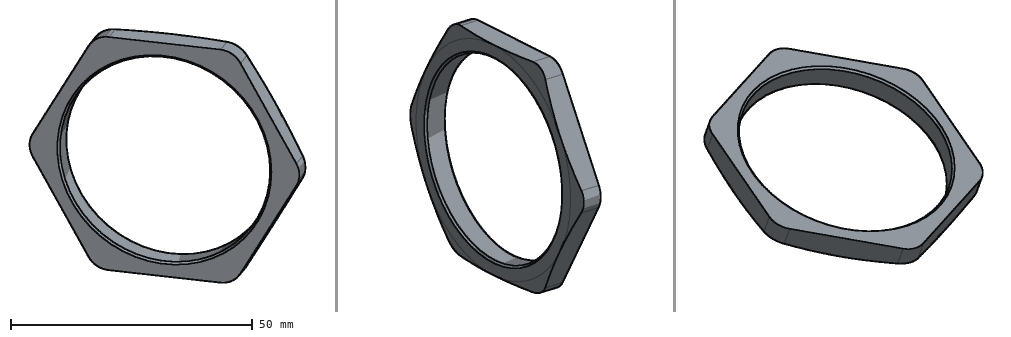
import cadquery as cq
import math

width_across_corners = 58.5
width_across_flats = 52.0
thickness = 5.5
bore_diameter = 45.5
bore_chamfer = 0.45
crown_diameter = width_across_flats
crown_drop = 1.05

corner_ratio = 1 / math.cos(math.radians(30))
sharp_width = width_across_flats * corner_ratio
corner_radius = (sharp_width - width_across_corners) / 2 / (corner_ratio - 1)


def hexagonal_blank():
    """Hexagonal plate from the front face (-Y) to the back face (+Y)."""
    plate = cq.Workplane("XZ", origin=(0, thickness / 2, 0)).polygon(6, sharp_width).extrude(thickness)
    return plate.edges("|Y").fillet(corner_radius)


def crown_envelope():
    """Turned body whose conical back edge chamfers the hexagon corners."""
    front = -thickness / 2
    back = thickness / 2
    crown_radius = crown_diameter / 2
    corner_reach = width_across_corners / 2
    slope = crown_drop / (corner_reach - crown_radius)
    outer_radius = sharp_width / 2
    outer_drop = slope * (outer_radius - crown_radius)
    profile = [
        (0, front),
        (outer_radius, front),
        (outer_radius, back - outer_drop),
        (crown_radius, back),
        (0, back),
    ]
    return cq.Workplane("XY").polyline(profile).close().revolve(360, (0, 0, 0), (0, 1, 0))


def bore_cutter():
    """Through bore, opened by a 45 degree chamfer at both faces."""
    half = thickness / 2
    bore_radius = bore_diameter / 2
    mouth_radius = bore_radius + bore_chamfer
    profile = [
        (0, -half),
        (mouth_radius, -half),
        (bore_radius, -half + bore_chamfer),
        (bore_radius, half - bore_chamfer),
        (mouth_radius, half),
        (0, half),
    ]
    return cq.Workplane("XY").polyline(profile).close().revolve(360, (0, 0, 0), (0, 1, 0))


result = hexagonal_blank().intersect(crown_envelope()).cut(bore_cutter())